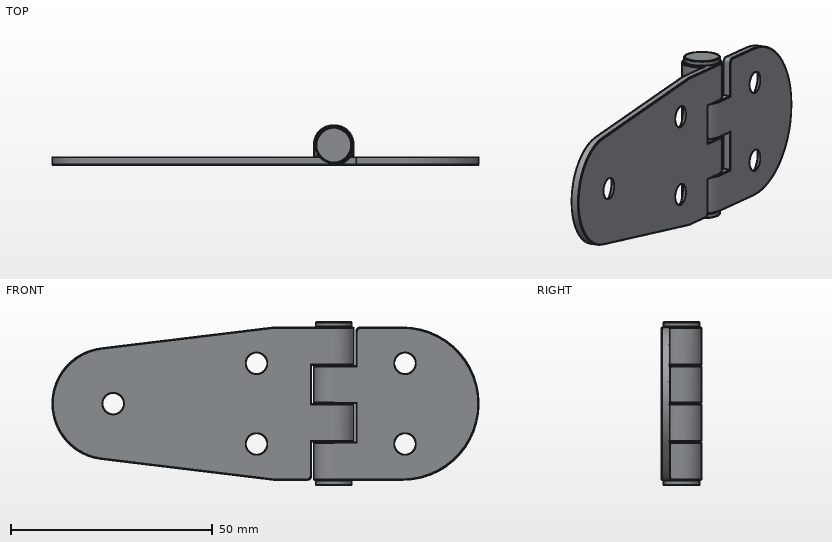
import cadquery as cq
import math

LONG_SIDE = -1
SHORT_SIDE = 1

overall_length = 106.0
overall_height = 40.6
leaf_height = 37.9
leaf_thickness = 2.0
knuckle_radius = 5.0

long_leaf_reach = 69.9
long_tip_radius = 13.9
taper_angle = 6.9
outer_corner_radius = 1.1
leaf_edge_chamfer = 0.19

hole_diameter = 5.3
countersink_angle = 90.0
hole_spacing_z = 20.0
long_leaf_tip_hole_x = -54.8
long_leaf_pair_x = -19.2
short_leaf_pair_x = 17.7

knuckle_count = 4
knuckle_chamfer = 0.2
knuckle_gap = 0.16
notch_clearance = 0.58
lip_chamfer = 0.2
lip_corner_radius = 0.5

head_inset = 0.48
head_chamfer = 0.2

half_height = leaf_height / 2
front_y = -knuckle_radius
back_y = front_y + leaf_thickness
short_leaf_reach = overall_length - long_leaf_reach
notch_reach = knuckle_radius + notch_clearance
knuckle_pitch = leaf_height / knuckle_count
head_radius = knuckle_radius - head_inset
pin_radius = knuckle_radius - leaf_thickness
hole_z = hole_spacing_z / 2


def plate(outline):
    """Extrude a closed XZ outline from the front face to the back face of a leaf."""
    return outline.extrude(-leaf_thickness).translate((0, front_y, 0))


def long_leaf_plate():
    """Tapered plate with a rounded tip, ending at the knuckle axis."""
    angle = math.radians(taper_angle)
    tip_centre_x = long_tip_radius - long_leaf_reach
    tangent_x = tip_centre_x - long_tip_radius * math.sin(angle)
    tangent_z = long_tip_radius * math.cos(angle)
    shoulder_x = tangent_x + (half_height - tangent_z) / math.tan(angle)
    outline = (
        cq.Workplane("XZ")
        .moveTo(0, -half_height)
        .lineTo(0, half_height)
        .lineTo(shoulder_x, half_height)
        .lineTo(tangent_x, tangent_z)
        .threePointArc((-long_leaf_reach, 0), (tangent_x, -tangent_z))
        .lineTo(shoulder_x, -half_height)
        .close()
    )
    return plate(outline)


def short_leaf_plate():
    """Plate with a half-round end, starting at the knuckle axis."""
    arc_x = short_leaf_reach - half_height
    outline = (
        cq.Workplane("XZ")
        .moveTo(0, half_height)
        .lineTo(arc_x, half_height)
        .threePointArc((short_leaf_reach, 0), (arc_x, -half_height))
        .lineTo(0, -half_height)
        .close()
    )
    return plate(outline)


def knuckle_span(index):
    """Bottom and top Z of a knuckle; only the ends that face a neighbour give up half the gap."""
    bottom = index * knuckle_pitch - half_height
    top = bottom + knuckle_pitch
    if index > 0:
        bottom += knuckle_gap / 2
    if index < knuckle_count - 1:
        top -= knuckle_gap / 2
    return bottom, top


def notch(index):
    """Room in a leaf for a knuckle of the other leaf, with the gap added at both ends."""
    bottom, top = knuckle_span(index)
    return (
        cq.Workplane("XY")
        .box(2 * notch_reach, 2 * knuckle_radius, top - bottom + 2 * knuckle_gap)
        .translate((0, 0, (bottom + top) / 2))
    )


def knuckle(index, side):
    """Barrel with a straight lip that closes the roll down onto the back of its leaf."""
    bottom, top = knuckle_span(index)
    length = top - bottom
    barrel = (
        cq.Workplane("XY")
        .circle(knuckle_radius)
        .extrude(length)
        .edges()
        .chamfer(knuckle_chamfer)
    )
    lip = (
        cq.Workplane("XY")
        .box(knuckle_radius, -back_y, length, centered=False)
        .translate((-knuckle_radius, back_y, 0))
        .edges("|X and <Y")
        .fillet(lip_corner_radius)
        .faces("<X")
        .edges("not >Y")
        .chamfer(lip_chamfer)
    )
    if side > 0:
        lip = lip.mirror("YZ")
    return barrel.union(lip).translate((0, 0, bottom))


def screw_hole(x, z):
    """Cone that opens from the hole diameter at the front face towards the back face."""
    front_radius = hole_diameter / 2
    back_radius = front_radius + leaf_thickness * math.tan(math.radians(countersink_angle / 2))
    return (
        cq.Workplane("XY")
        .moveTo(0, front_y)
        .lineTo(front_radius, front_y)
        .lineTo(back_radius, back_y)
        .lineTo(0, back_y)
        .close()
        .revolve(360, (0, 0, 0), (0, 1, 0))
        .translate((x, 0, z))
    )


def build_leaf(body, side, knuckle_indices, hole_places):
    """Turn a plate into a hinge leaf with notches, broken edges, knuckles, bore and screw holes."""
    for index in range(knuckle_count):
        if index not in knuckle_indices:
            body = body.cut(notch(index))

    corner_z = half_height if 0 in knuckle_indices else -half_height
    outer_corner = cq.selectors.NearestToPointSelector(
        (side * notch_reach, (front_y + back_y) / 2, corner_z)
    )
    body = body.edges("|Y").edges(outer_corner).fillet(outer_corner_radius)

    axis_side = "<X" if side > 0 else ">X"
    body = body.faces("<Y").edges(f"not({axis_side})").chamfer(leaf_edge_chamfer)

    for index in knuckle_indices:
        body = body.union(knuckle(index, side))
    body = body.cut(cq.Workplane("XY").circle(pin_radius).extrude(half_height, both=True))
    for x, z in hole_places:
        body = body.cut(screw_hole(x, z))
    return body


def build_pin():
    """Shank that fills the bore, with a chamfered head against each end of the knuckle row."""
    head_height = (overall_height - leaf_height) / 2
    shank = cq.Workplane("XY").circle(pin_radius).extrude(half_height, both=True)
    head = (
        cq.Workplane("XY")
        .workplane(offset=half_height)
        .circle(head_radius)
        .extrude(head_height)
        .edges()
        .chamfer(head_chamfer)
    )
    return shank.union(head).union(head.mirror("XY"))


long_leaf = build_leaf(
    long_leaf_plate(),
    LONG_SIDE,
    (1, 3),
    [(long_leaf_tip_hole_x, 0), (long_leaf_pair_x, hole_z), (long_leaf_pair_x, -hole_z)],
)
short_leaf = build_leaf(
    short_leaf_plate(),
    SHORT_SIDE,
    (0, 2),
    [(short_leaf_pair_x, hole_z), (short_leaf_pair_x, -hole_z)],
)
pin = build_pin()

result = cq.Compound.makeCompound([long_leaf.val(), short_leaf.val(), pin.val()])